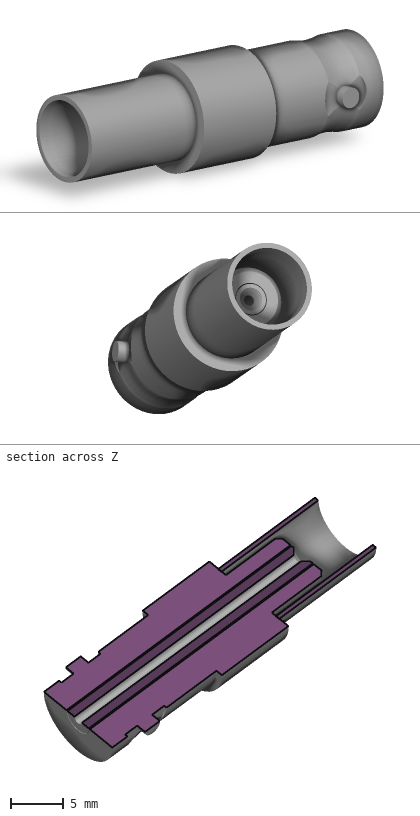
import cadquery as cq


ferrule_length = 12.7
collar_length = 8.8
barrel_length = 13.7
mating_end_y = collar_length + barrel_length

collar_radius = 5.5
barrel_radius = 4.75
bore_radius = 1.59

sleeve_radius = 3.2
sleeve_length = 7.0
sleeve_chamfer = 0.5
sleeve_tip_radius = sleeve_radius - sleeve_chamfer

groove_centre_setback = 4.58
groove_width = 3.8
groove_depth = 0.25
groove_y = mating_end_y - groove_centre_setback
lug_radius = 1.0
lug_tip_x = collar_radius
flat_x = 4.43
flat_radius = 2.55

ferrule_outer_radius = 4.25
ferrule_inner_radius = 3.75

contact_radius = 1.5
contact_hole_radius = 0.5
countersink_radius = 1.12
countersink_depth = countersink_radius - contact_hole_radius


def cylinder_along_y(radius, start_y, length):
    return cq.Workplane("XZ", origin=(0, start_y, 0)).circle(radius).extrude(-length)


def revolve_about_y(profile):
    return profile.close().revolve(360, (0, 0, 0), (0, 1, 0))


def cylinder_along_x(radius, start_x, end_x):
    """Cylinder on the lug axis between two X positions."""
    return cq.Workplane("YZ", origin=(start_x, groove_y, 0)).circle(radius).extrude(end_x - start_x)


def make_housing():
    groove_start_y = groove_y - groove_width / 2
    groove_end_y = groove_y + groove_width / 2
    groove_floor_radius = barrel_radius - groove_depth

    section = (
        cq.Workplane("XY")
        .moveTo(bore_radius, -sleeve_length)
        .lineTo(sleeve_tip_radius, -sleeve_length)
        .lineTo(sleeve_radius, sleeve_chamfer - sleeve_length)
        .lineTo(sleeve_radius, 0)
        .lineTo(collar_radius, 0)
        .lineTo(collar_radius, collar_length)
        .lineTo(barrel_radius, collar_length)
        .lineTo(barrel_radius, groove_start_y)
        .threePointArc((groove_floor_radius, groove_y), (barrel_radius, groove_end_y))
        .lineTo(barrel_radius, mating_end_y)
        .lineTo(bore_radius, mating_end_y)
    )
    housing = revolve_about_y(section)

    lug_root_x = (bore_radius + flat_x) / 2
    for side in (-1, 1):
        housing = housing.cut(cylinder_along_x(flat_radius, side * flat_x, side * lug_tip_x))
        housing = housing.union(cylinder_along_x(lug_radius, side * lug_root_x, side * lug_tip_x))
    return housing


def make_ferrule():
    """Plain tube butting against the collar."""
    tube = cylinder_along_y(ferrule_outer_radius, -ferrule_length, ferrule_length)
    return tube.cut(cylinder_along_y(ferrule_inner_radius, -ferrule_length, ferrule_length))


def make_contact():
    """Hollow pin standing clear of the housing bore, countersunk at the cable end."""
    section = (
        cq.Workplane("XY")
        .moveTo(countersink_radius, -sleeve_length)
        .lineTo(contact_radius, -sleeve_length)
        .lineTo(contact_radius, mating_end_y)
        .lineTo(contact_hole_radius, mating_end_y)
        .lineTo(contact_hole_radius, countersink_depth - sleeve_length)
    )
    return revolve_about_y(section)


housing = make_housing()
ferrule = make_ferrule()
contact = make_contact()

result = cq.Compound.makeCompound([housing.val(), ferrule.val(), contact.val()])